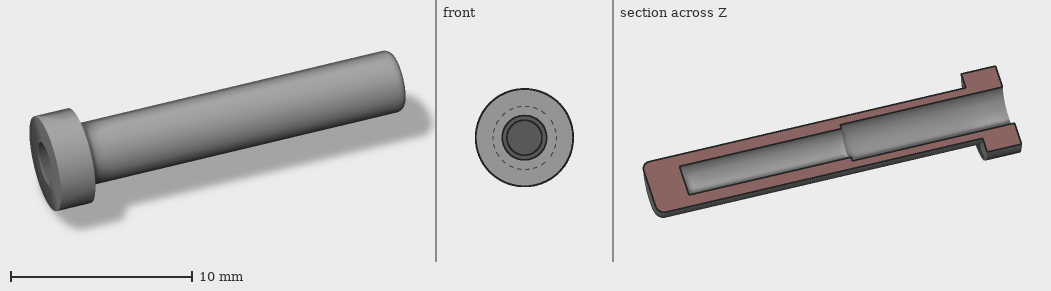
import cadquery as cq

total_length = 20.6
head_diameter = 5.4
head_thickness = 2.0
shank_diameter = 3.5
tip_radius = 0.5

bore_diameter = 2.45
pilot_diameter = 1.94
wall_at_tip = 2.0
pilot_depth = total_length - wall_at_tip
bore_depth = pilot_depth / 2

head_face_y = -total_length / 2


def cylinder_from_head_face(diameter, length):
    """Cylinder on the pin axis, running in +Y from the head face."""
    plane = cq.Workplane("XZ", origin=(0, head_face_y, 0))
    return plane.circle(diameter / 2).extrude(-length)


shank = cylinder_from_head_face(shank_diameter, total_length).faces(">Y").edges().fillet(tip_radius)
head = cylinder_from_head_face(head_diameter, head_thickness)
bore = cylinder_from_head_face(bore_diameter, bore_depth)
pilot = cylinder_from_head_face(pilot_diameter, pilot_depth)

result = shank.union(head).cut(bore).cut(pilot)